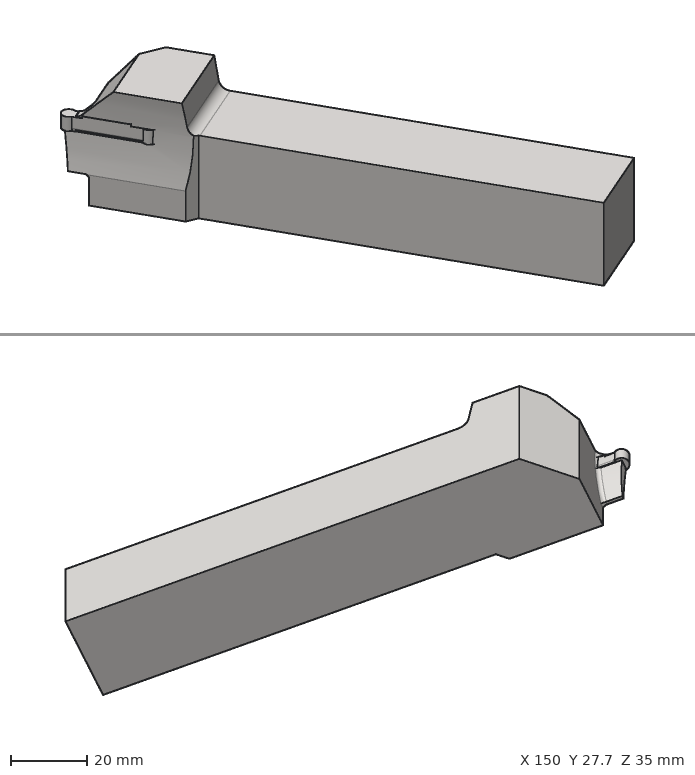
import cadquery as cq
import math

LENGTH = 150
SHANK_SIZE = 25.0
SHANK_FRONT = 2.7
DEPTH = SHANK_FRONT + SHANK_SIZE
HEIGHT = 35.0

HEAD_LEFT = 8.7
HEAD_TOP_RIGHT = 34.0
HEAD_RIGHT = 35.7
HEAD_FRONT_RIGHT = 35.4
SHOULDER_RADIUS = 3.1
CORNER_CHAMFER = 12.0
NOSE_TOP = 15.1
NOSE_TIP = 4.5
NOSE_RADIUS = 2.5
NOSE_ANGLE = 45

INSERT_LENGTH = 26.5
INSERT_BOTTOM = 20.7
INSERT_TOP = 25.0
LOBE_RADIUS = 2.1
LOBE_Y = 3.1
NECK_HALF_WIDTH = 1.6
FOOT_HALF_WIDTH = 1.5
FOOT_HEIGHT = 0.9
RIDGE_START = 6.3
RIDGE_END = 19.8
RIDGE_HEIGHT = 0.6

BLADE_TOP_LEFT = 1.5
BLADE_BOTTOM_LEFT = 2.8
BLADE_BOTTOM = 9.3
BLADE_ARC_Z = 24.7
HOLLOW_DEPTH = 1.6
BLADE_BACK = 4.6
BLADE_BACK_BOTTOM = 0.9
BLADE_OVERLAP = 1.5
ROOT_RADIUS = 1.2
ROOT_MARGIN = 0.1


def prism(points, front, back):
    """Extrude an XZ outline from Y = front to Y = back."""
    return cq.Workplane("XZ", origin=(0, front, 0)).polyline(points).close().extrude(front - back)


def lengthwise_cylinder(radius, y):
    return (
        cq.Workplane("YZ")
        .center(y, BLADE_ARC_Z)
        .circle(radius)
        .extrude(LENGTH)
    )


def arc_radius(half_chord, rise):
    return (half_chord ** 2 + rise ** 2) / (2 * rise)


def nose_height(x):
    return HEIGHT - (NOSE_TOP - x) * math.tan(math.radians(NOSE_ANGLE))


def make_shank_and_head():
    outline = [
        (HEAD_LEFT, 0),
        (LENGTH, 0),
        (LENGTH, SHANK_SIZE),
        (HEAD_RIGHT, SHANK_SIZE),
        (HEAD_TOP_RIGHT, HEIGHT),
        (NOSE_TOP, HEIGHT),
        (HEAD_LEFT, nose_height(HEAD_LEFT)),
    ]
    body = prism(outline, 0, DEPTH)
    shoulder = cq.selectors.NearestToPointSelector((HEAD_RIGHT, DEPTH / 2, SHANK_SIZE))
    body = body.edges(shoulder).fillet(SHOULDER_RADIUS)
    plan = [
        (HEAD_LEFT, 0),
        (HEAD_FRONT_RIGHT, 0),
        (HEAD_FRONT_RIGHT + SHANK_FRONT, SHANK_FRONT),
        (LENGTH, SHANK_FRONT),
        (LENGTH, DEPTH),
        (HEAD_LEFT + CORNER_CHAMFER, DEPTH),
        (HEAD_LEFT, DEPTH - CORNER_CHAMFER),
    ]
    return body.intersect(cq.Workplane("XY").polyline(plan).close().extrude(HEIGHT))


def make_blade():
    """Blade and upper jaw, with a back face curved about the X direction."""
    overlap = HEAD_LEFT + BLADE_OVERLAP
    nose_angle = math.radians(NOSE_ANGLE)
    arc_end_x = NOSE_TIP + NOSE_RADIUS * math.sin(nose_angle)
    arc_end_z = nose_height(arc_end_x)
    arc_start_z = arc_end_z - NOSE_RADIUS * (1 - math.cos(nose_angle))
    arc_mid = (
        NOSE_TIP + NOSE_RADIUS * math.sin(nose_angle / 2),
        arc_start_z + NOSE_RADIUS * (1 - math.cos(nose_angle / 2)),
    )
    blade = (
        cq.Workplane("XZ")
        .moveTo(BLADE_BOTTOM_LEFT, BLADE_BOTTOM)
        .lineTo(overlap, BLADE_BOTTOM)
        .lineTo(overlap, nose_height(overlap))
        .lineTo(arc_end_x, arc_end_z)
        .threePointArc(arc_mid, (NOSE_TIP, arc_start_z))
        .lineTo(NOSE_TIP, INSERT_BOTTOM)
        .lineTo(BLADE_TOP_LEFT, INSERT_BOTTOM)
        .close()
        .extrude(-BLADE_BACK)
    )
    back_radius = arc_radius(BLADE_ARC_Z - BLADE_BOTTOM, BLADE_BACK - BLADE_BACK_BOTTOM)
    return blade.intersect(lengthwise_cylinder(back_radius, BLADE_BACK - back_radius))


def make_insert():
    """Double-ended insert: round lobes joined by a narrower neck with a beveled foot and a top ridge."""
    lobe_centers = [
        (LOBE_RADIUS, LOBE_Y),
        (INSERT_LENGTH - LOBE_RADIUS, LOBE_Y),
    ]
    lobes = (
        cq.Workplane("XY", origin=(0, 0, INSERT_BOTTOM))
        .pushPoints(lobe_centers)
        .circle(LOBE_RADIUS)
        .extrude(INSERT_TOP - INSERT_BOTTOM)
    )
    foot_top = INSERT_BOTTOM + FOOT_HEIGHT
    neck_section = [
        (LOBE_Y - FOOT_HALF_WIDTH, INSERT_BOTTOM),
        (LOBE_Y + FOOT_HALF_WIDTH, INSERT_BOTTOM),
        (LOBE_Y + NECK_HALF_WIDTH, foot_top),
        (LOBE_Y + NECK_HALF_WIDTH, INSERT_TOP),
        (LOBE_Y - NECK_HALF_WIDTH, INSERT_TOP),
        (LOBE_Y - NECK_HALF_WIDTH, foot_top),
    ]
    neck = (
        cq.Workplane("YZ", origin=(LOBE_RADIUS, 0, 0))
        .polyline(neck_section)
        .close()
        .extrude(INSERT_LENGTH - 2 * LOBE_RADIUS)
    )
    ridge = cq.Workplane("XY").box(
        RIDGE_END - RIDGE_START, 2 * NECK_HALF_WIDTH, RIDGE_HEIGHT, centered=False
    )
    ridge = ridge.translate((RIDGE_START, LOBE_Y - NECK_HALF_WIDTH, INSERT_TOP))
    return lobes.union(neck).union(ridge)


def make_holder(insert):
    holder = make_shank_and_head().union(make_blade())
    root_edges = cq.selectors.BoxSelector(
        (HEAD_LEFT - ROOT_MARGIN, ROOT_MARGIN, BLADE_BOTTOM - ROOT_MARGIN),
        (HEAD_LEFT + ROOT_MARGIN, BLADE_BACK + ROOT_MARGIN, HEIGHT),
    )
    holder = holder.edges(root_edges).fillet(ROOT_RADIUS)
    hollow_radius = arc_radius(BLADE_ARC_Z - BLADE_BOTTOM, HOLLOW_DEPTH)
    hollow = lengthwise_cylinder(hollow_radius, HOLLOW_DEPTH - hollow_radius)
    keep_bottom = cq.Workplane("XY").box(LENGTH, DEPTH, BLADE_BOTTOM, centered=False)
    holder = holder.cut(hollow.cut(keep_bottom))
    return holder.cut(insert)


insert = make_insert()
holder = make_holder(insert)
result = cq.Compound.makeCompound([holder.val(), insert.val()])